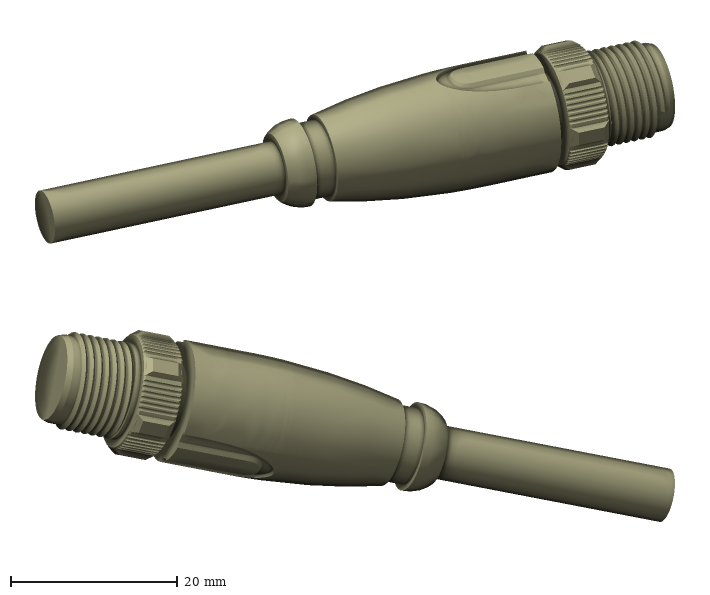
import cadquery as cq

TIP_Y = 79.7
COLLAR_FRONT_Y = 71.1
NUT_FRONT_Y = 70.45
NUT_BACK_Y = 65.35
BOOT_FRONT_Y = 64.0
BOOT_ARC_Y = 55.8
BOOT_BACK_Y = 35.9
RING_FRONT_Y = 33.15
RING_MIDDLE_Y = 31.25
RING_BACK_Y = 29.9

CABLE_RADIUS = 3.3
INSERT_RADIUS = 4.7
BOOT_RADIUS = 7.5
BOOT_BACK_RADIUS = 5.35
BOOT_BACK_SLOPE = 0.23
RING_RADIUS = 5.4
RING_MIDDLE_RADIUS = 5.1
RING_BACK_RADIUS = 4.2

BORDER_BASE_Z = 6.0
BORDER_TOP_Z = 7.6
BORDER_DEPTH = 0.4
BORDER_HALF_WIDTH = 3.5
BORDER_ARC_Y = 61.4
BORDER_TIP_Y = 51.6
BORDER_FLARE = 0.8
PAD_HALF_WIDTH = 2.9
PAD_ARC_Y = 55.0
PAD_TIP_Y = 51.6
PAD_FLARE = -1.35
TONGUE_OVERRUN = 2.4

THREAD_RADIUS = 5.94
THREAD_ROOT_RADIUS = 5.4
THREAD_PITCH = 1.0
THREAD_TURNS = 7
THREAD_BACK_Y = 71.1
RIDGE_BASE = 0.9 * THREAD_PITCH
TIP_RADIUS = 5.2
TIP_LENGTH = 0.7
ROOT_OVERLAP = 0.1

NUT_RADIUS = 7.13
NUT_CHAMFER = 0.2
LOBE_RADIUS = 7.61
LOBE_COUNT = 6
LOBE_HALF_WIDTH = 1.35
LOBE_TOP_HALF_WIDTH = 0.9
LOBE_INSET = 0.9
LOBE_ROOT_DEPTH = 0.2
GROOVES_PER_GAP = 6
GROOVE_PITCH_ANGLE = 5.4
GROOVE_RADIUS = 0.2


def cylinder(radius, back_y, front_y):
    """Solid cylinder on the Y axis between two positions."""
    return cq.Workplane("XZ", origin=(0, back_y, 0)).circle(radius).extrude(back_y - front_y)


def grip(inset=0.0):
    """Tapering grip of the boot, with its surface moved inwards by `inset`."""
    radius = BOOT_RADIUS - inset
    back_radius = BOOT_BACK_RADIUS - inset
    flank_tangents = [(0, -1), (0, -1), (-BOOT_BACK_SLOPE, -1)]
    return (
        cq.Workplane("XY")
        .moveTo(0, BOOT_FRONT_Y)
        .lineTo(radius, BOOT_FRONT_Y)
        .spline(
            [(radius, BOOT_ARC_Y), (back_radius, BOOT_BACK_Y)],
            tangents=flank_tangents,
            includeCurrent=True,
        )
        .lineTo(0, BOOT_BACK_Y)
        .close()
        .revolve(360, (0, 0, 0), (0, 1, 0))
    )


def tongue_outline(sketch, half_width, arc_y, tip_y):
    """Outline with straight sides, a half-oval tip and an open run past the boot's front face."""
    front_y = BOOT_FRONT_Y + TONGUE_OVERRUN
    tip_tangents = [(0, -1), (1, 0), (0, 1)]
    return (
        sketch.moveTo(-half_width, front_y)
        .lineTo(-half_width, arc_y)
        .spline([(0, tip_y), (half_width, arc_y)], tangents=tip_tangents, includeCurrent=True)
        .lineTo(half_width, front_y)
        .close()
    )


def tongue(half_width, arc_y, tip_y, flare):
    """Tongue-shaped block whose walls lean outwards by `flare` from its base to its top."""
    sketch = cq.Workplane("XY", origin=(0, 0, BORDER_BASE_Z))
    base = tongue_outline(sketch, half_width, arc_y, tip_y)
    top_sketch = base.workplane(offset=BORDER_TOP_Z - BORDER_BASE_Z, origin=(0, 0, 0))
    sections = tongue_outline(top_sketch, half_width + flare, arc_y, tip_y - flare)
    return sections.loft(ruled=True)


def make_border():
    """Cutter for the sunken border above the boot, with the pad left standing inside it."""
    outer = tongue(BORDER_HALF_WIDTH, BORDER_ARC_Y, BORDER_TIP_Y, BORDER_FLARE)
    pad = tongue(PAD_HALF_WIDTH, PAD_ARC_Y, PAD_TIP_Y, PAD_FLARE)
    return outer.cut(pad).cut(grip(BORDER_DEPTH))


def make_ring():
    """Strain-relief ring, rounded off towards the cable."""
    return (
        cq.Workplane("XY")
        .moveTo(0, RING_FRONT_Y)
        .lineTo(RING_RADIUS, RING_FRONT_Y)
        .threePointArc((RING_MIDDLE_RADIUS, RING_MIDDLE_Y), (RING_BACK_RADIUS, RING_BACK_Y))
        .lineTo(0, RING_BACK_Y)
        .close()
        .revolve(360, (0, 0, 0), (0, 1, 0))
    )


def make_boot():
    """Grip, neck and strain-relief ring in one piece, bored for the cable."""
    border = make_border()
    neck = cylinder(INSERT_RADIUS, RING_FRONT_Y, BOOT_BACK_Y)
    bore = cylinder(CABLE_RADIUS, RING_BACK_Y, BOOT_FRONT_Y)
    return grip().cut(border).cut(border.mirror("XY")).union(neck).union(make_ring()).cut(bore)


def make_cable():
    """Cable, running through the boot up to the back of the insert."""
    return cylinder(CABLE_RADIUS, 0, BOOT_FRONT_Y)


def make_insert():
    """Contact carrier, running from the boot through the sleeve to the tip."""
    return cylinder(INSERT_RADIUS, BOOT_FRONT_Y, TIP_Y)


def helical_ridge():
    """Right-handed triangular ridge, swept along Z and then turned to run along Y."""
    height = THREAD_TURNS * THREAD_PITCH
    helix = cq.Wire.makeHelix(THREAD_PITCH, height, THREAD_ROOT_RADIUS)
    half_base = RIDGE_BASE / 2
    inner = THREAD_ROOT_RADIUS - ROOT_OVERLAP
    ridge = (
        cq.Workplane("XZ")
        .polyline([(inner, -half_base), (THREAD_RADIUS, 0), (inner, half_base)])
        .close()
        .sweep(cq.Workplane(obj=helix), isFrenet=True)
    )
    return ridge.rotate((0, 0, 0), (1, 0, 0), -90).translate((0, THREAD_BACK_Y, 0))


def make_lobe():
    """Raised grip pad with sloping sides, on the +X side of the nut."""
    base = NUT_RADIUS - LOBE_ROOT_DEPTH
    length = NUT_FRONT_Y - NUT_BACK_Y
    middle_y = (NUT_FRONT_Y + NUT_BACK_Y) / 2
    return (
        cq.Workplane("YZ", origin=(base, middle_y, 0))
        .rect(length, 2 * LOBE_HALF_WIDTH)
        .workplane(offset=LOBE_RADIUS - base)
        .rect(length - 2 * LOBE_INSET, 2 * LOBE_TOP_HALF_WIDTH)
        .loft(ruled=True)
    )


def make_groove():
    """Rounded knurl groove on the +X side, running the whole length of the nut."""
    return cylinder(GROOVE_RADIUS, NUT_BACK_Y, NUT_FRONT_Y).translate((NUT_RADIUS, 0, 0))


def make_nut():
    """Nut ring with smooth grip lobes and groups of knurl grooves between them."""
    nut = cylinder(NUT_RADIUS, NUT_BACK_Y, NUT_FRONT_Y).edges("%CIRCLE").chamfer(NUT_CHAMFER)
    lobe_angle = 360 / LOBE_COUNT
    lobe = make_lobe()
    groove = make_groove()
    for i in range(LOBE_COUNT):
        middle = (i + 0.5) * lobe_angle
        for j in range(GROOVES_PER_GAP):
            angle = middle + (j - (GROOVES_PER_GAP - 1) / 2) * GROOVE_PITCH_ANGLE
            nut = nut.cut(groove.rotate((0, 0, 0), (0, 1, 0), angle))
        nut = nut.union(lobe.rotate((0, 0, 0), (0, 1, 0), i * lobe_angle))
    return nut


def make_sleeve():
    """Screw sleeve: threaded barrel, plain collar and knurled nut, bored for the insert."""
    barrel = (
        cylinder(THREAD_ROOT_RADIUS, NUT_FRONT_Y, TIP_Y)
        .faces(">Y").chamfer(TIP_LENGTH, THREAD_ROOT_RADIUS - TIP_RADIUS)
    )
    collar = cylinder(THREAD_RADIUS, NUT_FRONT_Y, COLLAR_FRONT_Y)
    bore = cylinder(INSERT_RADIUS, NUT_BACK_Y, TIP_Y)
    return barrel.union(helical_ridge()).union(collar).union(make_nut()).cut(bore)


cable = make_cable()
boot = make_boot()
insert = make_insert()
sleeve = make_sleeve()

result = cq.Compound.makeCompound([cable.val(), boot.val(), insert.val(), sleeve.val()])